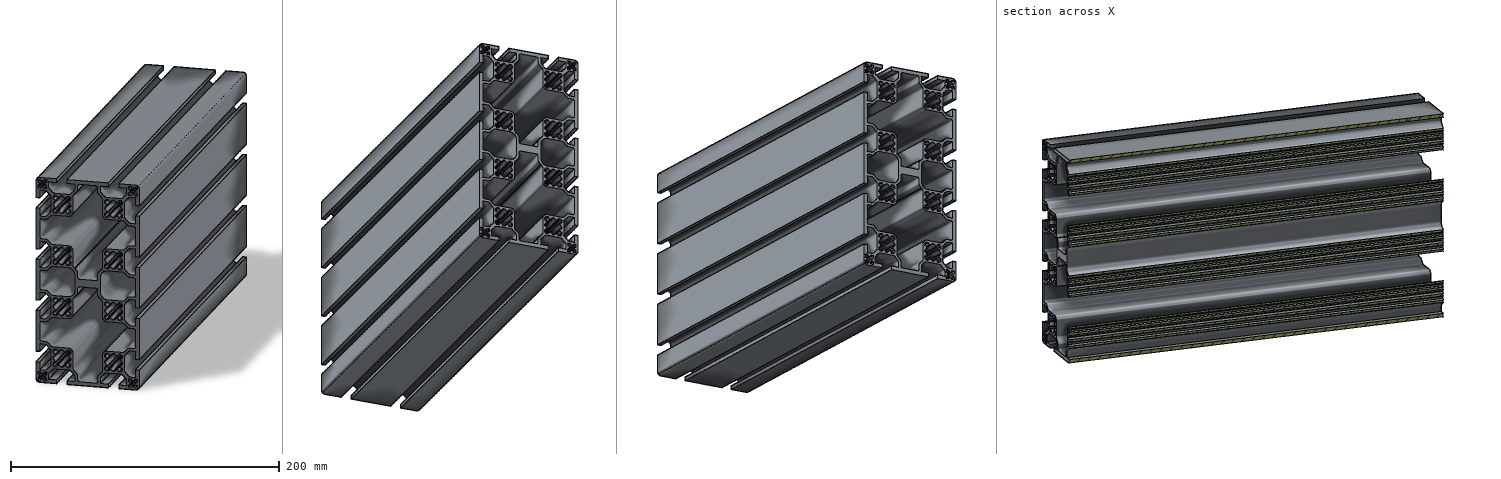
import cadquery as cq
import math

WIDTH = 80.0
LENGTH = 300.0
HEIGHT = 160.0
OUTER_RADIUS = 3.0

WALL = 3.0
SLOT_WIDTH = 8.0

CORE_SIDE = 17.0
CORE_WALL = 1.65
CORE_CHAMFER = 2.0
CORE_BORE_CHAMFER = 1.2

TOOTH_HEIGHT = 2.0
TOOTH_INNER_FOOT = 0.3
TOOTH_TIP = 3.0
TOOTH_OUTER_FOOT = 4.2

ARM_THICKNESS = 2.0
ARM_SPREAD = 10.2
ARM_RISE = 4.0
BEND_FILLET = 2.5
ROOT_FILLET = 1.5

CENTRE_RISE = 3.3
CENTRE_RADIUS = 5.7

CORNER_WALL = 1.5
NIB_HEIGHT = 1.2
NIB_FOOT = 1.5
NIB_TIP = 1.0

BAR_THICKNESS = 6.0

TOLERANCE = 0.03

HALF_WIDTH = WIDTH / 2
HALF_HEIGHT = HEIGHT / 2
CORE_PITCH = WIDTH / 2
CORE_INSET = CORE_PITCH / 2
CORE_HALF = CORE_SIDE / 2
BORE_HALF = CORE_HALF - CORE_WALL
CORE_X = HALF_WIDTH - CORE_INSET
CORE_Z_HIGH = HALF_HEIGHT - CORE_INSET
CORE_Z_LOW = CORE_Z_HIGH - CORE_PITCH
CORNER_BOX = CORE_INSET - ARM_SPREAD
WEB_X = CORE_X - ARM_SPREAD
CORNER_X = HALF_WIDTH - CORNER_BOX / 2
CORNER_Z = HALF_HEIGHT - CORNER_BOX / 2


def prism(points):
    """Extrude a closed XZ outline over the full length."""
    return cq.Workplane("XZ").polyline(points).close().extrude(LENGTH / 2, both=True)


def bar(x, z, size_x, size_z):
    """Full-length rectangular bar centred at (x, z)."""
    return cq.Workplane("XY").box(size_x, LENGTH, size_z).translate((x, 0, z))


def mirrored(quarter):
    """Complete a quarter of the profile about both middle planes."""
    half = quarter.union(quarter.mirror("XY"))
    return half.union(half.mirror("YZ"))


def walls():
    """Top and side wall of the upper right quarter, joined to its solid corner block."""
    top = bar(HALF_WIDTH / 2, HALF_HEIGHT - WALL / 2, HALF_WIDTH, WALL)
    side = bar(HALF_WIDTH - WALL / 2, HALF_HEIGHT / 2, WALL, HALF_HEIGHT)
    corner_block = bar(CORNER_X, CORNER_Z, CORNER_BOX, CORNER_BOX)
    return top.union(side).union(corner_block).edges(">X and >Z").fillet(OUTER_RADIUS)


def core(z, free_edge):
    """Solid core block with its one unattached edge chamfered."""
    return bar(CORE_X, z, CORE_SIDE, CORE_SIDE).edges(free_edge).chamfer(CORE_CHAMFER)


def arm(z, side_x, side_z, reach, along_x=False, rise=ARM_RISE):
    """Arm leaving a core corner at 45 degrees, then running straight to `reach` from the core centre."""
    bend = CORE_HALF + rise
    slot_offset = ARM_SPREAD - bend
    back_offset = slot_offset + ARM_THICKNESS * math.sqrt(2)
    back = ARM_SPREAD + ARM_THICKNESS
    outline = [
        (BORE_HALF + slot_offset, BORE_HALF),
        (ARM_SPREAD, bend),
        (ARM_SPREAD, reach),
        (back, reach),
        (back, back - back_offset),
        (BORE_HALF + back_offset, BORE_HALF),
    ]
    if along_x:
        outline = [(v, u) for u, v in outline]
    return prism([(CORE_X + side_x * u, z + side_z * v) for u, v in outline])


def square_bore(x, z, half_side, ridge_outlines, corner_chamfer=0):
    """Square bore with ridges, outlined as (offset, height), left standing on all four sides."""
    bore = bar(0, 0, 2 * half_side, 2 * half_side)
    if corner_chamfer:
        bore = bore.edges("|Y").chamfer(corner_chamfer)
    for outline in ridge_outlines:
        ridge = prism([(offset, half_side - height) for offset, height in outline])
        for turn in range(4):
            bore = bore.cut(ridge.rotate((0, 0, 0), (0, 1, 0), 90 * turn))
    return bore.translate((x, 0, z))


def core_bore(z):
    """Bore of a core tube with two slanted teeth on every side."""
    teeth = [
        [(side * TOOTH_INNER_FOOT, 0), (side * TOOTH_TIP, TOOTH_HEIGHT), (side * TOOTH_OUTER_FOOT, 0)]
        for side in (-1, 1)
    ]
    return square_bore(CORE_X, z, BORE_HALF, teeth, CORE_BORE_CHAMFER)


def corner_bore():
    """Bore of a corner tube with one blunt nib on every side."""
    nib = [(-NIB_FOOT, 0), (-NIB_TIP, NIB_HEIGHT), (NIB_TIP, NIB_HEIGHT), (NIB_FOOT, 0)]
    return square_bore(CORNER_X, CORNER_Z, CORNER_BOX / 2 - CORNER_WALL, [nib])


def framework():
    """Walls, cores, arms and centre bar of the upper right quarter, before any opening is cut."""
    frame = walls()
    frame = frame.union(core(CORE_Z_HIGH, "<X and <Z")).union(core(CORE_Z_LOW, "<X and >Z"))
    wall_reach = CORE_INSET - WALL / 2
    for core_z in (CORE_Z_HIGH, CORE_Z_LOW):
        for side_z in (-1, 1):
            frame = frame.union(arm(core_z, 1, side_z, wall_reach, along_x=True))
    for side_x in (-1, 1):
        frame = frame.union(arm(CORE_Z_HIGH, side_x, 1, wall_reach))
    frame = frame.union(arm(CORE_Z_LOW, -1, -1, CORE_Z_LOW, rise=CENTRE_RISE))
    return frame.union(bar(WEB_X / 2, BAR_THICKNESS / 4, WEB_X, BAR_THICKNESS / 2))


def round_inside_edges(frame):
    """Fillet arm bends and arm roots, leaving the corners inside the slots sharp."""
    roots, bends = [], []
    for edge in frame.edges("|Y").vals():
        x, z = edge.Center().x, edge.Center().z
        on_midplane = min(x, z) < TOLERANCE
        outside = x > HALF_WIDTH - WALL / 2 or z > HALF_HEIGHT - WALL / 2
        if on_midplane or outside:
            continue
        on_side_wall = x > HALF_WIDTH - WALL - TOLERANCE
        on_top_wall = z > HALF_HEIGHT - WALL - TOLERANCE
        slot_offset = abs(x - CORE_X)
        if on_side_wall:
            slot_offset = min(abs(z - CORE_Z_LOW), abs(z - CORE_Z_HIGH))
        on_bar = z < BAR_THICKNESS / 2 + TOLERANCE
        if not (on_side_wall or on_top_wall or on_bar):
            bends.append(edge)
        elif slot_offset > ARM_SPREAD + TOLERANCE:
            roots.append(edge)
    frame = frame.newObject(roots).fillet(ROOT_FILLET)
    return frame.newObject(bends).fillet(BEND_FILLET)


def centre_gusset():
    """Quarter-round filling that blends the centre arm into the underside of the lower core."""
    corner_z = CORE_Z_LOW - CORE_HALF
    half = CENTRE_RADIUS / 2
    block = bar(WEB_X + half, corner_z - half, CENTRE_RADIUS, CENTRE_RADIUS)
    rod = cq.Workplane("XZ").circle(CENTRE_RADIUS).extrude(LENGTH / 2, both=True)
    return block.cut(rod.translate((WEB_X + CENTRE_RADIUS, 0, corner_z - CENTRE_RADIUS)))


def cut_openings(frame):
    """Open the slots and bores of the upper right quarter."""
    frame = frame.cut(corner_bore())
    frame = frame.cut(bar(CORE_X, HALF_HEIGHT, SLOT_WIDTH, 2 * WALL))
    for core_z in (CORE_Z_LOW, CORE_Z_HIGH):
        frame = frame.cut(core_bore(core_z))
        frame = frame.cut(bar(HALF_WIDTH, core_z, 2 * WALL, SLOT_WIDTH))
    return frame


quarter = round_inside_edges(framework()).union(centre_gusset())
result = mirrored(cut_openings(quarter))